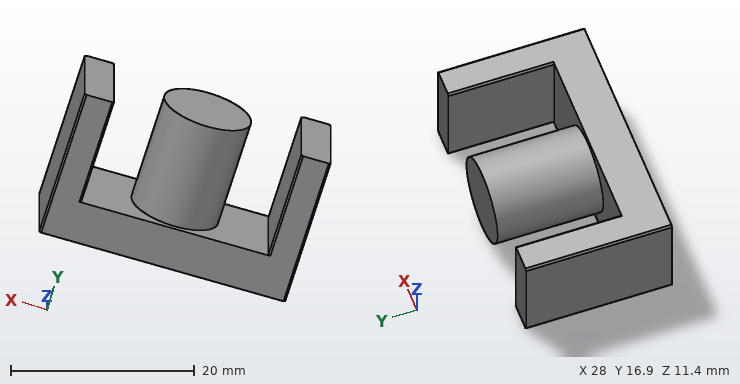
import cadquery as cq

width = 28.0
depth = 16.9
height = 11.4

back_thickness = 4.68
leg_thickness = 3.35
post_diameter = 9.9
leg_chamfer = 0.22

leg_length = depth - back_thickness
window_width = width - 2 * leg_thickness
back_inner_y = back_thickness - depth / 2


def chamfered_bar(bar_width, bar_length):
    """Bar along Y, centred on the origin, with its four long edges chamfered."""
    return cq.Workplane("XY").box(bar_width, bar_length, height).edges("|Y").chamfer(leg_chamfer)


back = chamfered_bar(width, back_thickness).translate((0, (back_thickness - depth) / 2, 0))

result = back
for side in (-1, 1):
    leg_center = (side * (window_width + leg_thickness) / 2, back_inner_y + leg_length / 2, 0)
    result = result.union(chamfered_bar(leg_thickness, leg_length).translate(leg_center))

post = (
    cq.Workplane("XZ", origin=(0, back_inner_y, 0))
    .circle(post_diameter / 2)
    .extrude(-leg_length)
)
result = result.union(post)